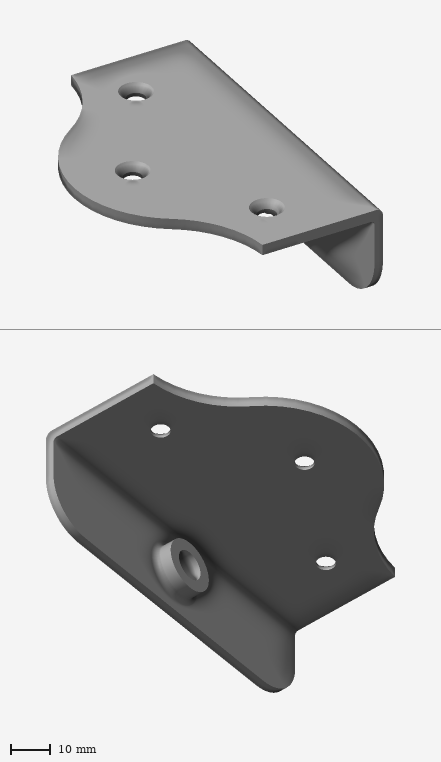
import cadquery as cq
import math

width = 95.0
depth = 62.0
height = 28.0
half_width = width / 2

plate_thickness = 3.0
flange_thickness = 2.5
outer_bend_radius = 2.0
inner_bend_radius = 1.0
flange_corner_radius = 12.5

nose_radius = 30.0
tangent_x = 25.1

screw_diameter = 5.0
countersink_diameter = 9.0
countersink_angle = 90
outer_screw_x = 32.5
outer_screw_y = -25.0
front_screw_y = -45.0

boss_diameter = 15.0
boss_reach = 7.5
boss_fillet = 1.5
bore_diameter = 8.5
boss_z = -16.0


def make_plate():
    """Horizontal plate with the curved front edge."""
    nose_center_y = nose_radius - depth
    tangent_rise = math.sqrt(nose_radius**2 - tangent_x**2)
    tangent_y = nose_center_y - tangent_rise

    hollow_center_x = 2 * tangent_x
    hollow_center_y = nose_center_y - 2 * tangent_rise

    def hollow_y(x):
        return hollow_center_y + math.sqrt(nose_radius**2 - (x - hollow_center_x)**2)

    side_y = hollow_y(half_width)
    middle_x = (half_width + tangent_x) / 2
    middle_y = hollow_y(middle_x)
    return (
        cq.Workplane("XY")
        .moveTo(-half_width, 0)
        .lineTo(half_width, 0)
        .lineTo(half_width, side_y)
        .threePointArc((middle_x, middle_y), (tangent_x, tangent_y))
        .threePointArc((0, -depth), (-tangent_x, tangent_y))
        .threePointArc((-middle_x, middle_y), (-half_width, side_y))
        .close()
        .extrude(-plate_thickness)
    )


def make_flange():
    """Vertical flange along the back, with rounded lower corners."""
    return (
        cq.Workplane("XY")
        .box(width, flange_thickness, height, centered=(True, False, False))
        .translate((0, -flange_thickness, -height))
        .edges("|Y and <Z")
        .fillet(flange_corner_radius)
    )


def round_bend(body):
    """Round the outer and inner edges where plate and flange meet."""
    body = body.edges(cq.selectors.NearestToPointSelector((0, 0, 0))).fillet(outer_bend_radius)
    inner_corner = (0, -flange_thickness, -plate_thickness)
    return body.edges(cq.selectors.NearestToPointSelector(inner_corner)).fillet(inner_bend_radius)


def add_boss(body):
    """Bored round boss on the flange's front face, filleted at its base."""
    boss = (
        cq.Workplane("XZ")
        .center(0, boss_z)
        .circle(boss_diameter / 2)
        .extrude(boss_reach)
    )
    bore = (
        cq.Workplane("XZ")
        .center(0, boss_z)
        .circle(bore_diameter / 2)
        .extrude(boss_reach)
    )
    base_edge = cq.selectors.NearestToPointSelector((0, -flange_thickness, boss_z))
    return body.union(boss).edges(base_edge).fillet(boss_fillet).cut(bore)


def cut_screw_holes(body):
    """Three screw holes countersunk from the top face."""
    screw_points = [
        (-outer_screw_x, outer_screw_y),
        (outer_screw_x, outer_screw_y),
        (0, front_screw_y),
    ]
    return (
        body.faces(">Z")
        .workplane(origin=(0, 0, 0))
        .pushPoints(screw_points)
        .cskHole(screw_diameter, countersink_diameter, countersink_angle, depth=plate_thickness)
    )


bracket = round_bend(make_plate().union(make_flange()))
bracket = add_boss(bracket)
result = cut_screw_holes(bracket)